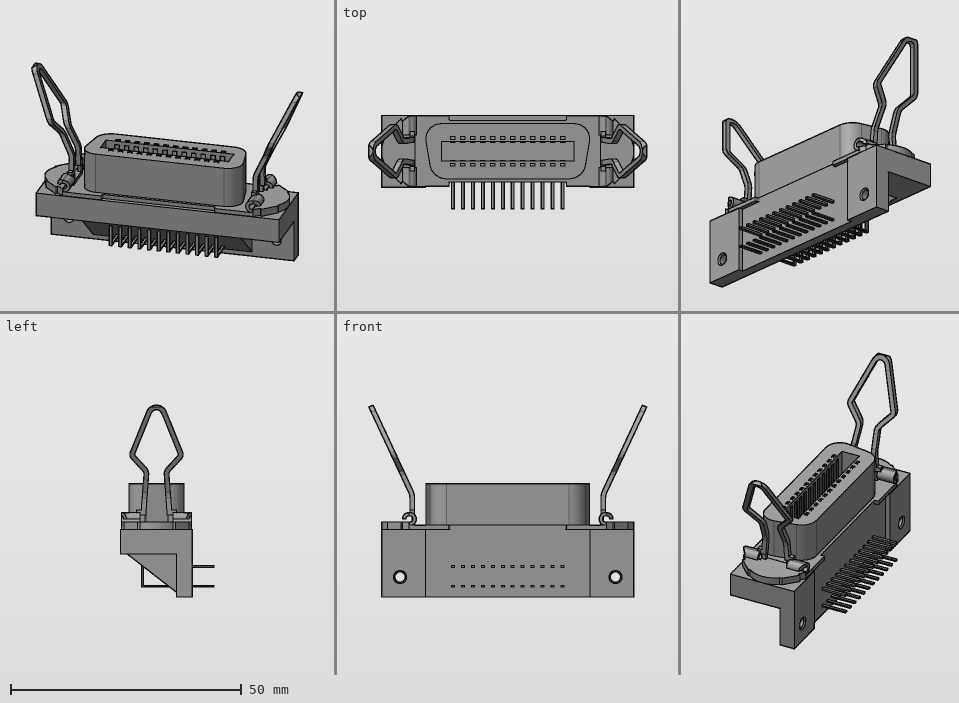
import cadquery as cq
import math


BODY_LENGTH = 54.66
BODY_DEPTH = 15.6
BODY_TOP = 14.65
SLAB_BOTTOM = 9.32
FLANGE_THICKNESS = 3.5
CENTER_HALF_LENGTH = 17.85
CENTER_RECESS = 1.1
GUSSET_BACK = 6.37
GUSSET_BOTTOM = 1.04
FRONT = -BODY_DEPTH / 2
BACK = BODY_DEPTH / 2
FLANGE_BACK = FRONT + FLANGE_THICKNESS

HOLE_X = 23.34
HOLE_Z = 4.33
HOLE_DIAMETER = 2.2
COUNTERSINK_DIAMETER = 2.85

PLATE_TOP = 15.57
PLATE_HALF_LENGTH = 21.4
PLATE_HALF_DEPTH = 7.62
NOTCH_HALF_LENGTH = 12.68
NOTCH_CORNER_RADIUS = 0.2
NOTCH_HALF_DEPTH = BACK - CENTER_RECESS

EAR_TOP = 16.3
EAR_TONGUE_END = 20.06
EAR_TONGUE_HALF_DEPTH = 3.55
EAR_ARC_END = (26.1, 3.6)
EAR_STEP_START = (26.1, 4.14)
EAR_STEP_END = (23.1, 7.05)
CORNER_CUT_OUTER = (22.85, 6.5)
CORNER_CUT_INNER = (PLATE_HALF_LENGTH, PLATE_HALF_DEPTH)

SHELL_TOP = 24.56
SHELL_HALF_DEPTH = 5.97
SHELL_BACK_HALF_LENGTH = 18.35
SHELL_FRONT_HALF_LENGTH = 16.35
SHELL_BACK_RADIUS = 3.3
SHELL_FRONT_RADIUS = 3.6
SLOT_LENGTH = 28.8
SLOT_WIDTH = 4.2
SLOT_DEPTH = 8.0

CONTACTS_PER_ROW = 12
CONTACT_PITCH = 2.16
CONTACT_WIDTH = 1.0
CONTACT_PROUD = 0.15
CONTACT_TOP_GAP = 0.8
POCKET_WIDTH = 1.0
POCKET_DEPTH = 0.55
POCKET_INNER_Y = 2.6
POCKET_HEIGHT = 0.8

PIN_WIDTH = 0.65
PIN_TIP_Y = -12.47
UPPER_PIN_Z = 6.58
UPPER_PIN_THICKNESS = 0.45
LOWER_PIN_Z = 2.3
LOWER_PIN_THICKNESS = 0.3
PIN_DROP_Y = 3.0
PIN_DROP_THICKNESS = 0.42

HOOK_X = 21.3
HOOK_OUTER_RADIUS = 1.37
HOOK_INNER_RADIUS = 0.63
HOOK_STRAIGHT = 0.3
HOOK_THICKNESS = HOOK_OUTER_RADIUS - HOOK_INNER_RADIUS
HOOK_Z = EAR_TOP + HOOK_INNER_RADIUS

WIRE_WIDTH = 1.05
LATCH_TOP = 41.61
LATCH_HALF_SPAN = 60.25 / 2
LATCH_LEG_X = 20.7
LATCH_BOTTOM = 17.75
LATCH_TILT = 25.0
LATCH_LEG_FOOT_Y = 2.85
LATCH_WAIST = (2.15, 27.2)
LATCH_SHOULDER = (5.4, 30.7)
LATCH_WAIST_RADIUS = 1.5
LATCH_SHOULDER_RADIUS = 0.9
LATCH_BEND_RADIUS = 3.2
LATCH_HALF_ANGLE = 22.1
FOOT_OUTER_Y = 4.3
FOOT_TOP = 18.85
TAB_INNER_Y = 2.47


def box(x_range, y_range, z_range):
    """Axis-aligned block between pairs of limits."""
    (x0, x1), (y0, y1), (z0, z1) = x_range, y_range, z_range
    return cq.Workplane("XY").box(x1 - x0, y1 - y0, z1 - z0, centered=False).translate((x0, y0, z0))


def prism_x(points, x_start, x_end):
    """Extrude a (Y, Z) outline from x_start to x_end."""
    return cq.Workplane("YZ", origin=(x_start, 0, 0)).polyline(points).close().extrude(x_end - x_start)


def mirrored(shape):
    """The shape together with its mirror image across X = 0."""
    return shape.union(shape.mirror("YZ"))


def contact_positions():
    middle = (CONTACTS_PER_ROW - 1) / 2
    return [(i - middle) * CONTACT_PITCH for i in range(CONTACTS_PER_ROW)]


def housing():
    center_outline = [
        (FRONT + CENTER_RECESS, 0),
        (FRONT + CENTER_RECESS, BODY_TOP),
        (BACK, BODY_TOP),
        (BACK, SLAB_BOTTOM),
        (GUSSET_BACK, SLAB_BOTTOM),
        (FLANGE_BACK, GUSSET_BOTTOM),
        (FLANGE_BACK, 0),
    ]
    end_outline = [
        (FRONT, 0),
        (FRONT, BODY_TOP),
        (BACK, BODY_TOP),
        (BACK, SLAB_BOTTOM),
        (FLANGE_BACK, SLAB_BOTTOM),
        (FLANGE_BACK, 0),
    ]
    center = prism_x(center_outline, -CENTER_HALF_LENGTH, CENTER_HALF_LENGTH)
    end = prism_x(end_outline, CENTER_HALF_LENGTH, BODY_LENGTH / 2)
    return center.union(mirrored(end))


def mounting_holes():
    hole_radius = HOLE_DIAMETER / 2
    sink_radius = COUNTERSINK_DIAMETER / 2
    sink_depth = sink_radius - hole_radius
    axis_start = cq.Vector(HOLE_X, FRONT, HOLE_Z)
    axis = cq.Vector(0, 1, 0)
    hole = cq.Solid.makeCylinder(hole_radius, FLANGE_THICKNESS, axis_start, axis)
    sink = cq.Solid.makeCone(sink_radius, hole_radius, sink_depth, axis_start, axis)
    return mirrored(cq.Workplane(hole).union(cq.Workplane(sink)))


def plate():
    height = PLATE_TOP - BODY_TOP
    base = cq.Workplane("XY", origin=(0, 0, BODY_TOP))
    sheet = base.rect(2 * PLATE_HALF_LENGTH, 2 * PLATE_HALF_DEPTH).extrude(height)
    for side in (-1, 1):
        notch_depth = PLATE_HALF_DEPTH - NOTCH_HALF_DEPTH
        notch_y = side * (PLATE_HALF_DEPTH - notch_depth / 2)
        sheet = sheet.cut(base.center(0, notch_y).rect(2 * NOTCH_HALF_LENGTH, notch_depth).extrude(height))
    return sheet.edges("|Z except (<X or >X)").fillet(NOTCH_CORNER_RADIUS)


def ear():
    """Ear at the +X end, from the housing top up to the level of the hook bores."""
    half = [
        EAR_STEP_START,
        EAR_STEP_END,
        CORNER_CUT_OUTER,
        CORNER_CUT_INNER,
        (PLATE_HALF_LENGTH, EAR_TONGUE_HALF_DEPTH),
        (EAR_TONGUE_END, EAR_TONGUE_HALF_DEPTH),
    ]
    other_half = [(x, -y) for x, y in reversed(half)]
    arc_x, arc_y = EAR_ARC_END
    outline = cq.Workplane("XY", origin=(0, 0, BODY_TOP)).moveTo(arc_x, -arc_y)
    outline = outline.threePointArc((BODY_LENGTH / 2, 0), EAR_ARC_END)
    for point in half + other_half:
        outline = outline.lineTo(*point)
    return outline.close().extrude(EAR_TOP - BODY_TOP)


def hook():
    """C-shaped curl at the +X, +Y corner, open toward the end of the connector."""
    length = PLATE_HALF_DEPTH - EAR_TONGUE_HALF_DEPTH
    section = cq.Workplane("XZ", origin=(HOOK_X, EAR_TONGUE_HALF_DEPTH, HOOK_Z))
    roll = section.slot2D(HOOK_STRAIGHT + 2 * HOOK_OUTER_RADIUS, 2 * HOOK_OUTER_RADIUS).extrude(-length)
    bore = section.slot2D(HOOK_STRAIGHT + 2 * HOOK_INNER_RADIUS, 2 * HOOK_INNER_RADIUS).extrude(-length)
    opening = box(
        (HOOK_X, HOOK_X + HOOK_STRAIGHT + HOOK_OUTER_RADIUS),
        (EAR_TONGUE_HALF_DEPTH, PLATE_HALF_DEPTH),
        (HOOK_Z - HOOK_OUTER_RADIUS, HOOK_Z),
    )
    x0, y0 = CORNER_CUT_INNER
    x1, y1 = CORNER_CUT_OUTER
    corner = (
        cq.Workplane("XY", origin=(0, 0, HOOK_Z - HOOK_OUTER_RADIUS))
        .polyline([(x0, y0), (x1, y1), (x1, y0)])
        .close()
        .extrude(2 * HOOK_OUTER_RADIUS)
    )
    return roll.cut(bore).cut(opening).cut(corner)


def shell():
    outline = [
        (-SHELL_BACK_HALF_LENGTH, SHELL_HALF_DEPTH),
        (SHELL_BACK_HALF_LENGTH, SHELL_HALF_DEPTH),
        (SHELL_FRONT_HALF_LENGTH, -SHELL_HALF_DEPTH),
        (-SHELL_FRONT_HALF_LENGTH, -SHELL_HALF_DEPTH),
    ]
    return (
        cq.Workplane("XY", origin=(0, 0, BODY_TOP))
        .polyline(outline)
        .close()
        .extrude(SHELL_TOP - BODY_TOP)
        .edges("|Z and >Y")
        .fillet(SHELL_BACK_RADIUS)
        .edges("|Z and <Y")
        .fillet(SHELL_FRONT_RADIUS)
    )


def contact_slot():
    """Slot and contact pockets to cut, with the contacts left standing on the slot walls."""
    floor = SHELL_TOP - SLOT_DEPTH
    wall = SLOT_WIDTH / 2
    cutter = box((-SLOT_LENGTH / 2, SLOT_LENGTH / 2), (-wall, wall), (floor, SHELL_TOP))
    for x in contact_positions():
        contact_x = (x - CONTACT_WIDTH / 2, x + CONTACT_WIDTH / 2)
        contact_z = (floor, SHELL_TOP - CONTACT_TOP_GAP)
        contact = box(contact_x, (wall - CONTACT_PROUD, wall), contact_z)
        pocket_x = (x - POCKET_WIDTH / 2, x + POCKET_WIDTH / 2)
        pocket_y = (POCKET_INNER_Y, POCKET_INNER_Y + POCKET_DEPTH)
        pocket = box(pocket_x, pocket_y, (SHELL_TOP - POCKET_HEIGHT, SHELL_TOP))
        cutter = cutter.cut(contact).cut(contact.mirror("XZ"))
        cutter = cutter.union(pocket).union(pocket.mirror("XZ"))
    return cutter


def solder_pins():
    """Straight upper pins, and lower pins that drop behind the gusset before turning forward."""
    upper_z = (UPPER_PIN_Z - UPPER_PIN_THICKNESS / 2, UPPER_PIN_Z + UPPER_PIN_THICKNESS / 2)
    lower_z = (LOWER_PIN_Z - LOWER_PIN_THICKNESS / 2, LOWER_PIN_Z + LOWER_PIN_THICKNESS / 2)
    drop_y = (PIN_DROP_Y - PIN_DROP_THICKNESS / 2, PIN_DROP_Y + PIN_DROP_THICKNESS / 2)
    pins = cq.Workplane("XY")
    for x in contact_positions():
        pin_x = (x - PIN_WIDTH / 2, x + PIN_WIDTH / 2)
        pins = pins.union(box(pin_x, (PIN_TIP_Y, FLANGE_BACK), upper_z))
        pins = pins.union(box(pin_x, (PIN_TIP_Y, drop_y[1]), lower_z))
        pins = pins.union(box(pin_x, drop_y, (lower_z[0], SLAB_BOTTOM)))
    return pins


def offset_line(points, distance):
    """Open polyline moved sideways by a distance, with mitred corners."""
    normals = []
    for (a0, b0), (a1, b1) in zip(points, points[1:]):
        length = math.hypot(a1 - a0, b1 - b0)
        normals.append(((b0 - b1) / length, (a1 - a0) / length))
    moved = []
    for (a, b), before, after in zip(points, normals[:1] + normals, normals + normals[-1:]):
        scale = distance / (1 + before[0] * after[0] + before[1] * after[1])
        moved.append((a + scale * (before[0] + after[0]), b + scale * (before[1] + after[1])))
    return moved


def round_edge(shape, direction, point, radius):
    """Fillet the one edge in a direction that lies nearest to a point."""
    nearest = cq.selectors.NearestToPointSelector(point)
    return shape.edges(direction).edges(nearest).fillet(radius)


def latch_side_strip():
    """Strip in the XZ plane: an upright leg, then a stretch leaning outward."""
    tilt = math.radians(LATCH_TILT)
    tip_x = LATCH_HALF_SPAN - WIRE_WIDTH / 2 * math.cos(tilt)
    tip_z = LATCH_TOP - WIRE_WIDTH / 2 * math.sin(tilt)
    bend_z = tip_z - (tip_x - LATCH_LEG_X) / math.tan(tilt)
    middle = [(LATCH_LEG_X, LATCH_BOTTOM), (LATCH_LEG_X, bend_z), (tip_x, tip_z)]
    left = offset_line(middle, WIRE_WIDTH / 2)
    right = offset_line(middle, -WIRE_WIDTH / 2)
    strip = cq.Workplane("XZ").polyline(left + right[::-1]).close()
    strip = strip.extrude(BODY_DEPTH / 2, both=True)
    for (x, z), edge_radius in (
        (left[1], LATCH_BEND_RADIUS + WIRE_WIDTH / 2),
        (right[1], LATCH_BEND_RADIUS - WIRE_WIDTH / 2),
    ):
        strip = round_edge(strip, "|Y", (x, 0, z), edge_radius)
    return strip


def latch_loop():
    """Arrow-shaped wire loop in the YZ plane, extruded across the whole latch."""
    half_angle = math.radians(LATCH_HALF_ANGLE)
    shoulder_y, shoulder_z = LATCH_SHOULDER
    apex_z = shoulder_z + shoulder_y / math.tan(half_angle)
    half = [(LATCH_LEG_FOOT_Y, LATCH_BOTTOM), LATCH_WAIST, LATCH_SHOULDER]
    middle = half + [(0, apex_z)] + [(-y, z) for y, z in reversed(half)]
    tip_radius = (apex_z - LATCH_TOP + WIRE_WIDTH / 2) / (1 / math.sin(half_angle) - 1)
    bend_radii = [LATCH_WAIST_RADIUS, LATCH_SHOULDER_RADIUS, tip_radius]
    bend_radii += [LATCH_SHOULDER_RADIUS, LATCH_WAIST_RADIUS]
    turns_left = [False, True, True, True, False]
    left = offset_line(middle, WIRE_WIDTH / 2)
    right = offset_line(middle, -WIRE_WIDTH / 2)
    loop = prism_x(left + right[::-1], 0, LATCH_HALF_SPAN)
    for i, radius in enumerate(bend_radii):
        inward = -WIRE_WIDTH / 2 if turns_left[i] else WIRE_WIDTH / 2
        for (y, z), edge_radius in ((left[i + 1], radius + inward), (right[i + 1], radius - inward)):
            loop = round_edge(loop, "|X", (LATCH_HALF_SPAN / 2, y, z), edge_radius)
    return loop


def latch():
    """Latch at the +X end: wire loop with a foot and a supporting tab on each leg."""
    wire = latch_side_strip().intersect(latch_loop())
    foot_x = (LATCH_LEG_X - WIRE_WIDTH / 2, LATCH_LEG_X + WIRE_WIDTH / 2)
    foot = box(foot_x, (LATCH_LEG_FOOT_Y, FOOT_OUTER_Y), (LATCH_BOTTOM, FOOT_TOP))
    tab_x = (EAR_TONGUE_END, EAR_TONGUE_END + HOOK_THICKNESS)
    tab = box(tab_x, (TAB_INNER_Y, EAR_TONGUE_HALF_DEPTH), (PLATE_TOP, LATCH_BOTTOM))
    support = foot.union(tab)
    return wire.union(support).union(support.mirror("XZ"))


def latch_end():
    """Everything on the plate at the +X end."""
    curl = hook()
    return ear().union(curl).union(curl.mirror("XZ")).union(latch())


result = housing().union(plate()).union(shell()).union(mirrored(latch_end()))
result = result.cut(contact_slot()).cut(mounting_holes()).union(solder_pins())